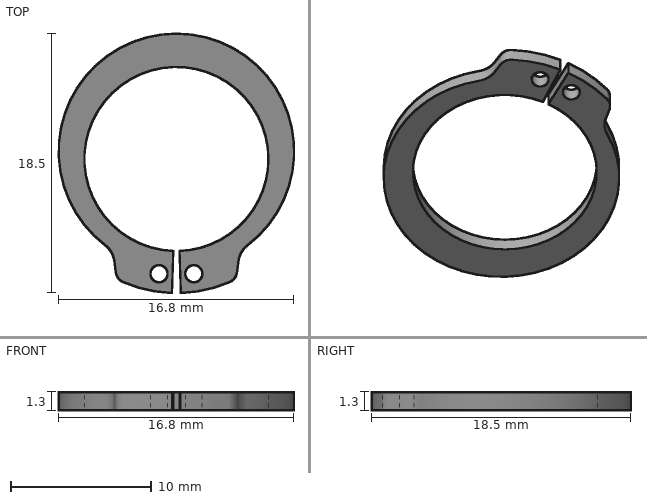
import cadquery as cq
import math

thickness = 1.3
bore_radius = 6.56
gap_half_angle = 1.85
lug_radius = 9.59
overall_length = 18.54
rim_radius = 8.42
lug_reach = lug_radius * math.cos(math.radians(gap_half_angle))
rim_offset = overall_length - lug_reach - rim_radius

lug_half_width = 4.45
lug_width_y = -7.23
lug_side_angle = 7.5
lug_top_y = -4.64
root_fillet = 1.67
corner_fillet = 0.9

hole_diameter = 1.2
hole_x = 1.25
hole_y = -8.2


def lug_side_x(y):
    """Half width of the lug pair at height y."""
    return lug_half_width + (y - lug_width_y) * math.tan(math.radians(lug_side_angle))


def disc(radius, center_y=0):
    return cq.Workplane("XY").center(0, center_y).circle(radius).extrude(thickness)


def make_lugs():
    """Both lugs as one tapered block with a round end."""
    top_x = lug_side_x(lug_top_y)
    bottom_y = -lug_radius
    bottom_x = lug_side_x(bottom_y)
    block = (
        cq.Workplane("XY")
        .polyline([(-top_x, lug_top_y), (-bottom_x, bottom_y), (bottom_x, bottom_y), (top_x, lug_top_y)])
        .close()
        .extrude(thickness)
    )
    return block.intersect(disc(lug_radius))


def edges_at_sides(body, low_y, high_y):
    """Vertical edges on both sides of the lugs between two heights."""
    half_span = 1.5 * lug_half_width
    selector = cq.selectors.BoxSelector((-half_span, low_y, 0), (half_span, high_y, thickness))
    return body.edges("|Z").edges(selector)


def make_gap():
    """Wedge with its tip on the shaft axis, cutting the ring open between the lugs."""
    depth = overall_length
    half_width = depth * math.tan(math.radians(gap_half_angle))
    return (
        cq.Workplane("XY")
        .polyline([(0, 0), (-half_width, -depth), (half_width, -depth)])
        .close()
        .extrude(thickness)
    )


body = disc(rim_radius, rim_offset).union(make_lugs())
body = edges_at_sides(body, -lug_radius, lug_width_y).fillet(corner_fillet)
body = edges_at_sides(body, lug_width_y, lug_top_y).fillet(root_fillet)

holes = (
    cq.Workplane("XY")
    .pushPoints([(-hole_x, hole_y), (hole_x, hole_y)])
    .circle(hole_diameter / 2)
    .extrude(thickness)
)

result = body.cut(disc(bore_radius)).cut(make_gap()).cut(holes)